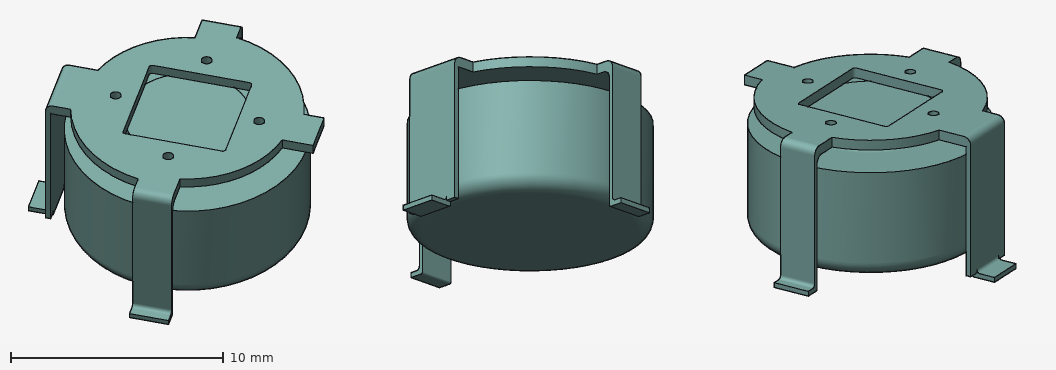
import cadquery as cq
import math

drum_diameter = 11.6
drum_bottom = 0.7
drum_top = 6.09
drum_edge_radius = 0.7
neck_diameter = 6.0
neck_fillet = 0.5

clip_top = 7.4
plate_thickness = 0.5
plate_bottom = clip_top - plate_thickness
small_plate_radius = 5.0
large_plate_radius = 5.5
window_size = 5.0
window_corner_radius = 0.15
pin_hole_diameter = 0.5
pin_hole_circle_radius = 3.5
pin_hole_count = 4

tab_reach = 6.4
tab_width = 2.02

foot_thickness = 0.25
foot_width = 1.9
bend_radius = 0.39
heel_radius = 0.08
foot_fillet = 0.18

side_leg_outside = 6.44
side_leg_thickness = 0.21
side_foot_reach = 7.0
side_leg_inner_fillet = 0.39

wide_leg_outside = 6.52
wide_leg_thickness = 0.25
wide_leg_width = 3.0
wide_foot_reach = 7.5


def make_drum():
    """Rounded drum with a filleted neck reaching up to the underside of the plate."""
    drum_radius = drum_diameter / 2
    neck_radius = neck_diameter / 2
    diagonal = math.sqrt(0.5)
    edge_center_x = drum_radius - drum_edge_radius
    edge_center_z = drum_bottom + drum_edge_radius
    edge_middle = (edge_center_x + drum_edge_radius * diagonal, edge_center_z - drum_edge_radius * diagonal)
    fillet_center_x = neck_radius + neck_fillet
    fillet_center_z = drum_top + neck_fillet
    fillet_middle = (fillet_center_x - neck_fillet * diagonal, fillet_center_z - neck_fillet * diagonal)
    return (
        cq.Workplane("XZ")
        .moveTo(0, drum_bottom)
        .lineTo(edge_center_x, drum_bottom)
        .threePointArc(edge_middle, (drum_radius, edge_center_z))
        .lineTo(drum_radius, drum_top)
        .lineTo(fillet_center_x, drum_top)
        .threePointArc(fillet_middle, (neck_radius, fillet_center_z))
        .lineTo(neck_radius, plate_bottom)
        .lineTo(0, plate_bottom)
        .close()
        .revolve(360, (0, 0), (0, 1))
    )


def make_plate():
    """Round plate whose +X+Y and -X-Y quarters have the larger radius."""
    plate = cq.Workplane("XY").workplane(offset=plate_bottom).circle(small_plate_radius).extrude(plate_thickness)
    large_disc = cq.Workplane("XY").workplane(offset=plate_bottom).circle(large_plate_radius).extrude(plate_thickness)
    for side in (1, -1):
        quarter = (
            cq.Workplane("XY")
            .workplane(offset=plate_bottom)
            .center(side * large_plate_radius / 2, side * large_plate_radius / 2)
            .rect(large_plate_radius, large_plate_radius)
            .extrude(plate_thickness)
        )
        plate = plate.union(large_disc.intersect(quarter))
    return plate


def make_tab():
    return (
        cq.Workplane("XY")
        .box(tab_reach, tab_width, plate_thickness, centered=(False, True, False))
        .translate((0, 0, plate_bottom))
    )


def make_leg(outside, thickness, width, foot_reach, inner_fillet=0):
    """Leg toward +X: an arm from the plate, an upright and an outward foot."""
    inside = outside - thickness
    upright = (
        cq.Workplane("XZ")
        .moveTo(0, clip_top)
        .lineTo(outside, clip_top)
        .lineTo(outside, foot_thickness)
        .lineTo(inside, foot_thickness)
        .lineTo(inside, plate_bottom)
        .lineTo(0, plate_bottom)
        .close()
        .extrude(width / 2, both=True)
    )
    upright = upright.edges(cq.NearestToPointSelector((outside, 0, clip_top))).fillet(bend_radius)
    if inner_fillet > 0:
        upright = upright.edges(cq.NearestToPointSelector((inside, 0, plate_bottom))).fillet(inner_fillet)

    foot_root_top = foot_thickness + 2 * foot_fillet
    foot = (
        cq.Workplane("XZ")
        .moveTo(inside, 0)
        .lineTo(foot_reach, 0)
        .lineTo(foot_reach, foot_thickness)
        .lineTo(outside, foot_thickness)
        .lineTo(outside, foot_root_top)
        .lineTo(inside, foot_root_top)
        .close()
        .extrude(foot_width / 2, both=True)
    )
    foot = foot.edges(cq.NearestToPointSelector((inside, 0, 0))).fillet(heel_radius)
    foot = foot.edges(cq.NearestToPointSelector((outside, 0, foot_thickness))).fillet(foot_fillet)
    return upright.union(foot)


def turn(shape, angle):
    return shape.rotate((0, 0, 0), (0, 0, 1), angle)


def make_clip():
    """Plate with its tab and three legs, pierced by the window and the pin holes."""
    clip = make_plate().union(make_tab())
    side_leg = make_leg(
        side_leg_outside, side_leg_thickness, foot_width, side_foot_reach, side_leg_inner_fillet
    )
    for angle in (90, -90):
        clip = clip.union(turn(side_leg, angle))
    wide_leg = make_leg(wide_leg_outside, wide_leg_thickness, wide_leg_width, wide_foot_reach)
    clip = clip.union(turn(wide_leg, 180))

    window = (
        cq.Workplane("XY")
        .workplane(offset=plate_bottom)
        .rect(window_size, window_size)
        .extrude(plate_thickness)
        .edges("|Z")
        .fillet(window_corner_radius)
    )
    pin_holes = (
        cq.Workplane("XY")
        .workplane(offset=plate_bottom)
        .polarArray(pin_hole_circle_radius, 0, 360, pin_hole_count)
        .circle(pin_hole_diameter / 2)
        .extrude(plate_thickness)
    )
    return clip.cut(window).cut(pin_holes)


drum = make_drum()
clip = make_clip()
result = cq.Compound.makeCompound([drum.val(), clip.val()])